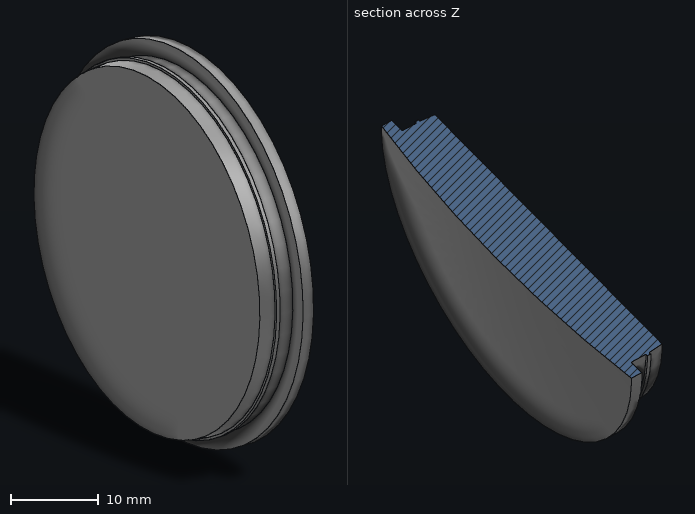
import cadquery as cq

flange_radius = 48.3 / 2
flange_thickness = 1.5
dome_height = 1.5

plug_radius = 22.15
plug_end_radius = 21.95
plug_length = 4.5

snap_ring_radius = 22.45
snap_ring_width = 0.5
snap_ring_start = 2.0

snap_ring_end = snap_ring_start + snap_ring_width
flange_back = plug_length + flange_thickness
dome_top = flange_back + dome_height

dome_radius = (flange_radius**2 + dome_height**2) / (2 * dome_height)
dome_center = dome_top - dome_radius
dome_mid_z = flange_radius / 2
dome_mid_y = dome_center + (dome_radius**2 - dome_mid_z**2) ** 0.5


def half_profile():
    """Half section in the ZY plane, from the axis out to the rim."""
    return (
        cq.Workplane("ZY")
        .moveTo(0, 0)
        .lineTo(plug_end_radius, 0)
        .lineTo(plug_radius, snap_ring_start)
        .lineTo(snap_ring_radius, snap_ring_start)
        .lineTo(snap_ring_radius, snap_ring_end)
        .lineTo(plug_radius, snap_ring_end)
        .lineTo(plug_radius, plug_length)
        .lineTo(flange_radius, plug_length)
        .lineTo(flange_radius, flange_back)
        .threePointArc((dome_mid_z, dome_mid_y), (0, dome_top))
        .close()
    )


result = half_profile().revolve(360, (0, 0, 0), (0, 1, 0))